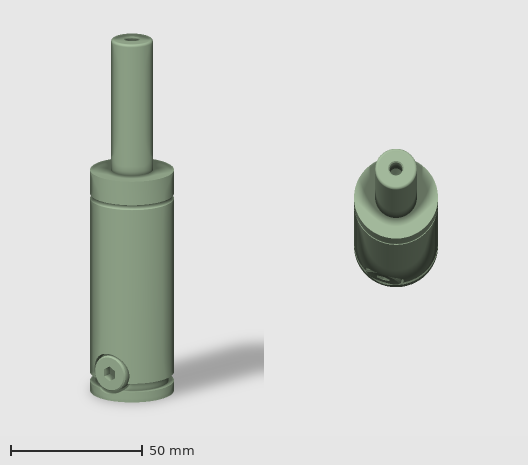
import cadquery as cq

total_height = 140
body_diameter = 32.0
body_height = 87.9
rod_diameter = 16.0
rod_edge_radius = 1.0

cap_groove_center_z = 77.5
cap_groove_radius = 1.0
base_groove_bottom_z = 4.0
base_groove_top_z = 7.4
base_groove_depth = 2.1

rod_hole_diameter = 5.0
rod_hole_depth = 11.2
rod_hole_mouth_diameter = 6.0
drill_tip_height = 1.4

plug_center_z = 10.5
plug_diameter = 14
plug_chamfer = 0.5
plug_face_inset = 0.4
recess_diameter = 16.0
recess_floor_inset = 4.9
socket_across_flats = 5.0
socket_depth = 4.2

body_radius = body_diameter / 2
rod_radius = rod_diameter / 2
plug_face_y = plug_face_inset - body_radius
recess_floor_y = recess_floor_inset - body_radius


def side_workplane(y):
    """Sketch plane at the given Y, centred on the plug and facing -Y."""
    return cq.Workplane("XZ", origin=(0, y, plug_center_z))


def make_body_and_rod():
    """Body of revolution with a round-edged rod on top."""
    body = cq.Workplane("XY").circle(body_radius).extrude(body_height)
    rod = (
        cq.Workplane("XY", origin=(0, 0, body_height))
        .circle(rod_radius)
        .extrude(total_height - body_height)
        .faces(">Z")
        .edges()
        .fillet(rod_edge_radius)
    )
    return body.union(rod)


def make_cap_groove():
    """Half-round groove below the cap."""
    return (
        cq.Workplane("XZ")
        .center(body_radius, cap_groove_center_z)
        .circle(cap_groove_radius)
        .revolve(360, (-body_radius, 0), (-body_radius, 1))
    )


def make_base_groove():
    """Square groove above the base flange."""
    return (
        cq.Workplane("XY", origin=(0, 0, base_groove_bottom_z))
        .circle(body_diameter)
        .circle(body_radius - base_groove_depth)
        .extrude(base_groove_top_z - base_groove_bottom_z)
    )


def make_rod_hole():
    """Blind hole with a countersunk mouth and a conical drill tip."""
    hole_radius = rod_hole_diameter / 2
    mouth_radius = rod_hole_mouth_diameter / 2
    mouth_depth = mouth_radius - hole_radius
    hole_floor_z = total_height - rod_hole_depth
    return (
        cq.Workplane("XZ")
        .moveTo(0, total_height)
        .lineTo(mouth_radius, total_height)
        .lineTo(hole_radius, total_height - mouth_depth)
        .lineTo(hole_radius, hole_floor_z)
        .lineTo(0, hole_floor_z - drill_tip_height)
        .close()
        .revolve(360, (0, 0), (0, 1))
    )


def make_recess():
    """Round recess that leaves a gap around the plug."""
    return side_workplane(recess_floor_y).circle(recess_diameter / 2).extrude(recess_floor_inset)


def make_plug():
    """Chamfered plug with a hexagon socket, corners up and down."""
    plug = (
        side_workplane(recess_floor_y)
        .circle(plug_diameter / 2)
        .extrude(recess_floor_y - plug_face_y)
        .faces("<Y")
        .chamfer(plug_chamfer)
    )
    socket = (
        side_workplane(plug_face_y + socket_depth)
        .polygon(6, socket_across_flats, circumscribed=True)
        .extrude(socket_depth)
    )
    return plug.cut(socket)


result = (
    make_body_and_rod()
    .cut(make_cap_groove())
    .cut(make_base_groove())
    .cut(make_rod_hole())
    .cut(make_recess())
    .union(make_plug())
)